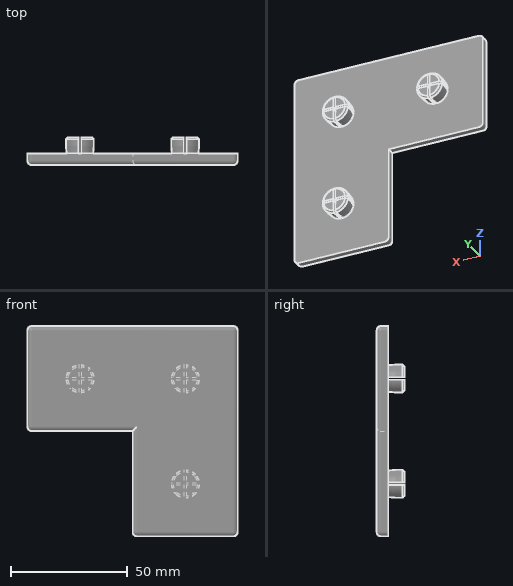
import cadquery as cq

side = 90.0
cell = side / 2
plate_thickness = 5.0
edge_radius = 2.0

peg_height = 6.9
peg_radius = 6.0
peg_root_radius = 5.8
peg_taper_height = 3.1
peg_tip_chamfer = 0.9
slot_width = 1.0
peg_centers = [
    (cell / 2, side - cell / 2),
    (side - cell / 2, side - cell / 2),
    (side - cell / 2, cell / 2),
]


def make_plate():
    """L-shaped plate with its front face on Y = 0 and its back face towards +Y."""
    outline = [(0, cell), (cell, cell), (cell, 0), (side, 0), (side, side), (0, side)]
    plate = cq.Workplane("XZ").polyline(outline).close().extrude(-plate_thickness)

    inner_corner = cq.selectors.BoxSelector(
        (cell - edge_radius, 0, cell - edge_radius),
        (cell + edge_radius, plate_thickness, cell + edge_radius),
    )
    corner_edges = cq.selectors.StringSyntaxSelector("|Y") - inner_corner
    plate = plate.edges(corner_edges).fillet(edge_radius)

    return plate.faces("<Y").edges().fillet(edge_radius)


def make_peg():
    """Peg standing on Z = 0, narrower at its root and split in four by a cross slot."""
    peg = (
        cq.Workplane("XZ")
        .moveTo(0, 0)
        .lineTo(peg_root_radius, 0)
        .lineTo(peg_radius, peg_taper_height)
        .lineTo(peg_radius, peg_height)
        .lineTo(0, peg_height)
        .close()
        .revolve(360, (0, 0), (0, 1))
        .faces(">Z")
        .edges()
        .chamfer(peg_tip_chamfer)
    )
    slot = cq.Workplane("XY").box(2 * peg_radius, slot_width, peg_height, centered=(True, True, False))
    cross_slot = slot.union(slot.rotate((0, 0, 0), (0, 0, 1), 90))
    return peg.cut(cross_slot)


peg = make_peg().rotate((0, 0, 0), (1, 0, 0), -90)

result = make_plate()
for x, z in peg_centers:
    result = result.union(peg.translate((x, plate_thickness, z)))